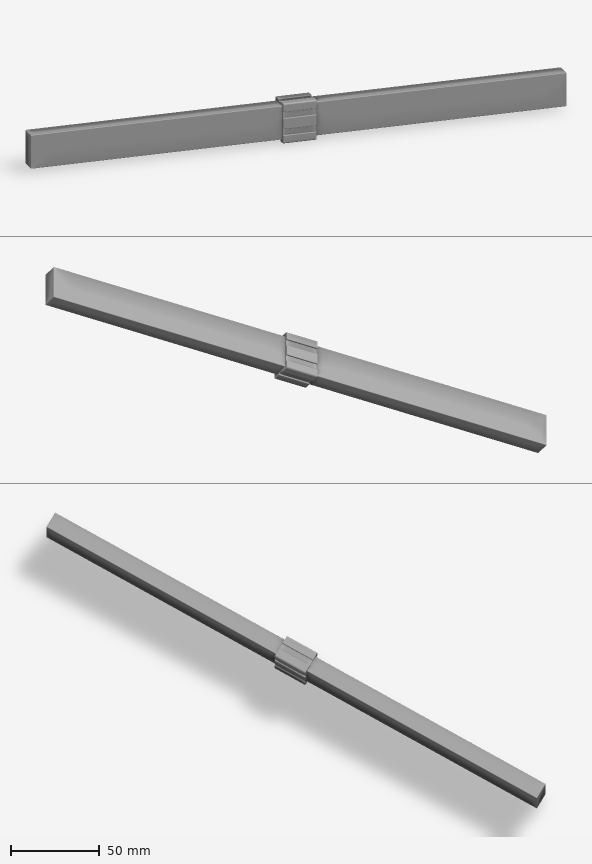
import cadquery as cq

bar_length = 320.0
bar_width = 10.0
bar_height = 20.0

edge_radius = 0.3

sleeve_length = 20.0
sleeve_width = 14.0
sleeve_height = 24.0
corner_radius = 1.0

groove_depth = 1.0
end_groove_width = 4.0
side_groove_inner = 3.2
side_groove_outer = 7.0
side_groove_width = side_groove_outer - side_groove_inner
side_groove_height = (side_groove_inner + side_groove_outer) / 2


def groove_cutter(width, height, x, z):
    """Block centred on a sleeve face, sinking half its thickness into the sleeve."""
    return cq.Workplane("XY").box(width, sleeve_length, height).translate((x, 0, z))


bar = cq.Workplane("XY").box(bar_width, bar_length, bar_height)
bar = bar.edges().fillet(edge_radius)
sleeve = cq.Workplane("XY").box(sleeve_width, sleeve_length, sleeve_height)
sleeve = sleeve.edges("|Y").fillet(corner_radius)

cutter_thickness = 2 * groove_depth
for direction in (-1, 1):
    end_z = direction * sleeve_height / 2
    sleeve = sleeve.cut(groove_cutter(end_groove_width, cutter_thickness, 0, end_z))

    side_x = direction * sleeve_width / 2
    for z in (-side_groove_height, side_groove_height):
        sleeve = sleeve.cut(groove_cutter(cutter_thickness, side_groove_width, side_x, z))

lip_points = []
for z_side in (-1, 1):
    for x_side in (-1, 1):
        lip_points.append((x_side * end_groove_width / 2, z_side * sleeve_height / 2))
        for lip_z in (side_groove_inner, side_groove_outer):
            lip_points.append((x_side * sleeve_width / 2, z_side * lip_z))
lips = sleeve.newObject([])
for x, z in lip_points:
    lips = lips.add(sleeve.edges("|Y").edges(cq.selectors.NearestToPointSelector((x, 0, z))))
sleeve = lips.fillet(edge_radius)

result = bar.union(sleeve)